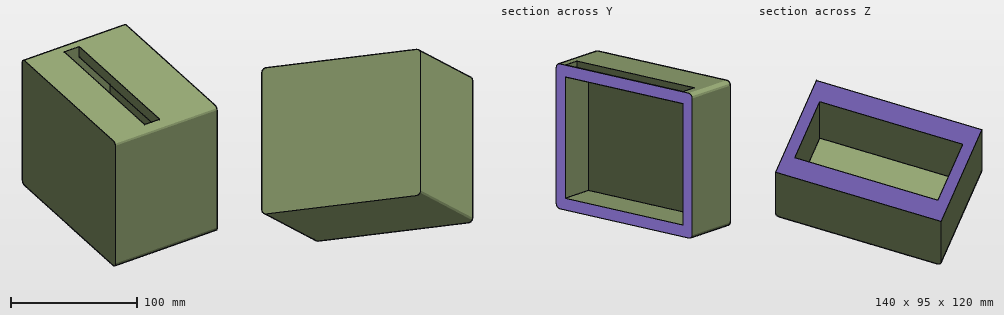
import cadquery as cq

width = 140.0
depth = 95.0
height = 120.0
edge_radius = 4.0

side_wall = 9.8
roof_and_floor = 10.1
front_and_back_wall = 18.9

chamber_length = width - 2 * side_wall
chamber_depth = depth - 2 * front_and_back_wall
chamber_height = height - 2 * roof_and_floor

slot_width = 14.0
slot_offset_y = -7.3


def rounded_block():
    """Solid block with its four front-to-back edges rounded."""
    return cq.Workplane("XY").box(width, depth, height).edges("|Y").fillet(edge_radius)


def inner_chamber():
    """Closed box-shaped space inside the block."""
    return cq.Workplane("XY").box(chamber_length, chamber_depth, chamber_height)


def roof_slot():
    """Slot along X that runs from the middle of the chamber out through the roof."""
    return (
        cq.Workplane("XY")
        .center(0, slot_offset_y)
        .rect(chamber_length, slot_width)
        .extrude(height / 2)
    )


cavity = inner_chamber().union(roof_slot())
result = rounded_block().cut(cavity)